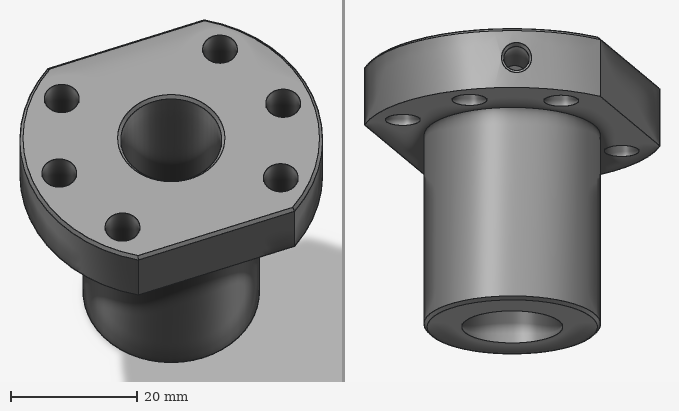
import cadquery as cq
import math

total_length = 42.0
flange_diameter = 48.0
flange_thickness = 10.0
flange_width = 40.0
body_diameter = 28.0
bore_diameter = 16.0
edge_chamfer = 0.5

mounting_hole_diameter = 5.5
mounting_circle_radius = 19.0
mounting_hole_angles = [45, 90, 135, 225, 270, 315]

oil_hole_diameter = 4.0
oil_mouth_depth = 0.5
oil_mouth_diameter = oil_hole_diameter + 2 * oil_mouth_depth
oil_hole_depth = 10.0
oil_hole_angle = (mounting_hole_angles[1] + mounting_hole_angles[2]) / 2

flange_bottom = total_length - flange_thickness
flange_middle = flange_bottom + flange_thickness / 2
flange_radius = flange_diameter / 2
bore_radius = bore_diameter / 2


def make_flange():
    """Disc with two parallel flats facing -X and +X, chamfered round its top edge."""
    disc = cq.Workplane("XY").workplane(offset=flange_bottom).circle(flange_radius).extrude(flange_thickness)
    flats = (
        cq.Workplane("XY")
        .workplane(offset=flange_bottom)
        .rect(flange_width, flange_diameter)
        .extrude(flange_thickness)
    )
    return disc.intersect(flats).faces(">Z").edges().chamfer(edge_chamfer)


def make_body():
    """Cylindrical nut body, chamfered at its free lower end."""
    body = cq.Workplane("XY").circle(body_diameter / 2).extrude(flange_bottom)
    return body.faces("<Z").edges().chamfer(edge_chamfer)


def make_bore():
    """Through bore, widened by a chamfer at the flange face."""
    bore = cq.Workplane("XY").circle(bore_radius).extrude(total_length)
    chamfer_start = total_length - edge_chamfer
    mouth = cq.Solid.makeCone(
        bore_radius, bore_radius + edge_chamfer, edge_chamfer, pnt=cq.Vector(0, 0, chamfer_start)
    )
    return bore.union(cq.Workplane(mouth))


def make_mounting_holes():
    """Clearance holes on one pitch circle, leaving the flats free."""
    centres = []
    for angle in mounting_hole_angles:
        x = mounting_circle_radius * math.cos(math.radians(angle))
        y = mounting_circle_radius * math.sin(math.radians(angle))
        centres.append((x, y))
    return (
        cq.Workplane("XY")
        .workplane(offset=flange_bottom)
        .pushPoints(centres)
        .circle(mounting_hole_diameter / 2)
        .extrude(flange_thickness)
    )


def make_oil_hole():
    """Blind radial hole in the flange rim, with a conical mouth."""
    angle = math.radians(oil_hole_angle)
    inward = cq.Vector(-math.cos(angle), -math.sin(angle), 0)
    rim_point = cq.Vector(0, 0, flange_middle) - inward * flange_radius
    drill = cq.Solid.makeCylinder(oil_hole_diameter / 2, oil_hole_depth, rim_point, inward)
    mouth = cq.Solid.makeCone(
        oil_mouth_diameter / 2, oil_hole_diameter / 2, oil_mouth_depth, rim_point, inward
    )
    return cq.Workplane(drill).union(cq.Workplane(mouth))


result = (
    make_flange()
    .union(make_body())
    .cut(make_bore())
    .cut(make_mounting_holes())
    .cut(make_oil_hole())
)